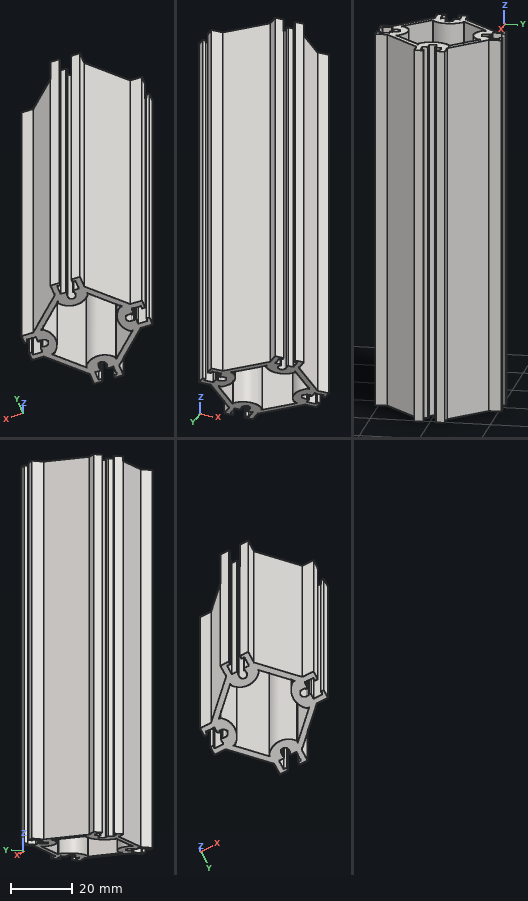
import cadquery as cq
import math

length = 127.0
width = 42.0
half_width = width / 2

wall_corner = 16.9
wall_thickness = 2.0

channel_width = 10.3
slot_width = 6.4
slot_depth = 4.3
lip_gap = 4.2
lip_thickness = 1.08
boss_radius = 6.5
boss_depth = 10.2

groove_radius = 1.33
groove_depth = 3.2
groove_mouth = 2.8
groove_neck = 1.9
neck_depth = 0.8

outer_diamond = wall_corner + channel_width / 2
inner_diamond = outer_diamond - wall_thickness * math.sqrt(2)
slot_floor = half_width - slot_depth
boss_center = half_width - boss_depth + boss_radius
groove_center = slot_floor - groove_depth + groove_radius


def diamond(reach):
    """Square prism with its corners on the X and Y axes."""
    corners = [(reach, 0), (0, reach), (-reach, 0), (0, -reach)]
    return cq.Workplane("XY").polyline(corners).close().extrude(length)


def block(x_start, x_end, block_width):
    """Full-length block centred on the X axis."""
    return (
        cq.Workplane("XY")
        .center((x_start + x_end) / 2, 0)
        .rect(x_end - x_start, block_width)
        .extrude(length)
    )


def cylinder(x_center, radius):
    """Full-length cylinder parallel to Z, offset along X."""
    return cq.Workplane("XY").center(x_center, 0).circle(radius).extrude(length)


def channel_body():
    """Channel block backed by a round boss inside the tube."""
    boss = cylinder(boss_center, boss_radius)
    boss = boss.intersect(block(0, wall_corner, channel_width))
    return boss.union(block(slot_floor, half_width, channel_width))


def channel_cut():
    """Lipped slot with the necked groove in its floor."""
    slot = block(slot_floor, half_width - lip_thickness, slot_width)
    mouth = block(slot_floor, half_width, lip_gap)
    bevel_depth = (groove_mouth - groove_neck) / 2
    bevel_end = slot_floor - bevel_depth
    bevel = (
        cq.Workplane("XY")
        .polyline([
            (slot_floor, groove_mouth / 2),
            (bevel_end, groove_neck / 2),
            (bevel_end, -groove_neck / 2),
            (slot_floor, -groove_mouth / 2),
        ])
        .close()
        .extrude(length)
    )
    neck_end = slot_floor - neck_depth
    neck = block(neck_end, bevel_end, groove_neck)
    groove = block(groove_center, neck_end, 2 * groove_radius)
    round_bottom = cylinder(groove_center, groove_radius)
    round_bottom = round_bottom.intersect(block(0, groove_center, 2 * groove_radius))
    return slot.union(mouth).union(bevel).union(neck).union(groove).union(round_bottom)


def at_four_corners(shape):
    """The shape repeated at the four corners."""
    pattern = shape
    for angle in (90, 180, 270):
        pattern = pattern.union(shape.rotate((0, 0, 0), (0, 0, 1), angle))
    return pattern


tube = diamond(outer_diamond).cut(diamond(inner_diamond))
tube = tube.intersect(cq.Workplane("XY").rect(2 * wall_corner, 2 * wall_corner).extrude(length))
result = tube.union(at_four_corners(channel_body())).cut(at_four_corners(channel_cut()))